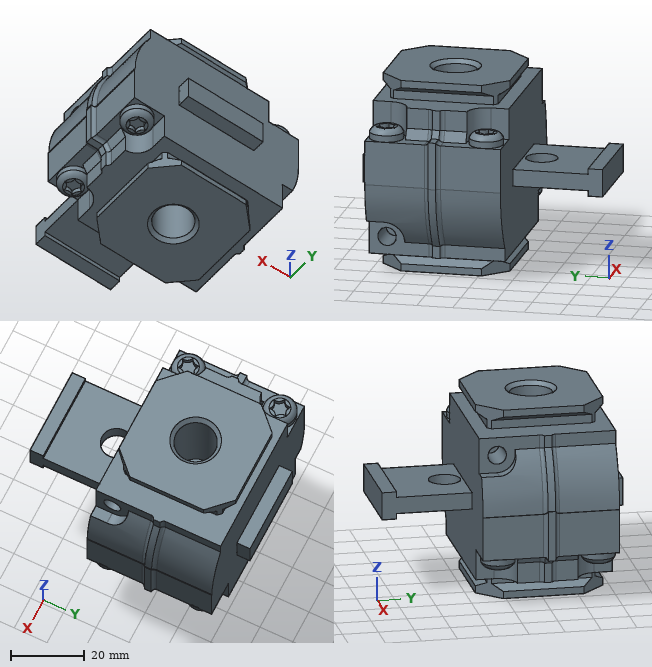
import cadquery as cq
import math

BODY_WIDTH_Y = 38.0
BODY_HEIGHT = 42.0
HALF_Y = BODY_WIDTH_Y / 2
HALF_Z = BODY_HEIGHT / 2

SIDE_X = 28.55
NECK_X = 23.4
SEAT_Z = 12.35
SLOPE_RISE = 2.9
SLOPE_RUN = 1.45
FOOT_X = 23.0
CURVE_END_Z = 17.3
LEFT_CURVE_X = SIDE_X
CURVE_STEP = 0.2
RIGHT_CURVE_X = SIDE_X - CURVE_STEP

RIB_HEIGHT = 0.9
RIB_TOP_WIDTH = 2.1
RIB_ROOT_RADIUS = 1.25
RIB_ROOT_DEPTH = 0.3
RIB_LEDGE_RUN = 2 * RIB_ROOT_DEPTH

FLANGE_WIDTH = 35.5
FLANGE_NECK_WIDTH = 30.1
FLANGE_CORNER_CUT = 6.5
FLANGE_RIM = 2.05
FLANGE_NECK_HEIGHT = 2.4
FLANGE_TAPER_HEIGHT = 1.6
FLANGE_HEIGHT = FLANGE_NECK_HEIGHT + FLANGE_TAPER_HEIGHT + FLANGE_RIM
PORT_DIAMETER = 11.8
PORT_MOUTH_DIAMETER = 14.1

SCREW_X = 23.7
SCREW_Y = 13.95
HEAD_DIAMETER = 9.4
HEAD_HEIGHT = 3.4
HEAD_RIM_HEIGHT = 1.8
HEAD_TOP_DIAMETER = 5.95
DOME_RADIUS = 2.6
STAR_POINT_RADIUS = 2.95
STAR_VALLEY_RADIUS = 1.95
STAR_POINTS = 6
STAR_DEPTH = 1.5
POCKET_RADIUS = 5.5

RELIEF_HOLE_Y = 14.0
RELIEF_HOLE_Z = 15.95
RELIEF_HOLE_DIAMETER = 5.1
RELIEF_HOLE_DEPTH = 10.0
RELIEF_RADIUS = 5.0

BAR_WIDTH = 26.0
BAR_THICKNESS = 4.7
BAR_HEAD_THICKNESS = 7.8
BAR_HEAD_LENGTH = 4.0
BAR_FRONT_Y = -44.0
BAR_BACK_Y = HALF_Y + BAR_HEAD_LENGTH
BAR_HOLE_Y = -24.1
BAR_HOLE_DIAMETER = 8.8


def half_turn(shape):
    """Copy turned half a turn about Y."""
    return shape.rotate((0, 0, 0), (0, 1, 0), 180)


def point_mirror(shape):
    """Copy mirrored through the origin."""
    return half_turn(shape).mirror("XZ")


def upper_left_side(pen):
    """Draw the left side of the profile, from the top corner down to the start of the curve."""
    return (
        pen.lineTo(-NECK_X, SEAT_Z + SLOPE_RISE)
        .lineTo(-NECK_X - SLOPE_RUN, SEAT_Z)
        .lineTo(-SIDE_X, SEAT_Z)
        .lineTo(-SIDE_X, 0)
    )


def lower_left_side(pen, curve_x):
    """Draw the left side of the profile, from the start of the curve to the bottom corner."""
    curve_run = curve_x - FOOT_X
    curve_radius = (curve_run ** 2 + CURVE_END_Z ** 2) / (2 * curve_run)
    mid_angle = math.asin(CURVE_END_Z / curve_radius) / 2
    curve_middle = (
        -curve_x + curve_radius * (1 - math.cos(mid_angle)),
        -curve_radius * math.sin(mid_angle),
    )
    curve = pen.threePointArc(curve_middle, (-FOOT_X, -CURVE_END_Z))
    return curve.lineTo(-FOOT_X, -HALF_Z)


def make_left_half(curve_x):
    outline = cq.Workplane("XZ").moveTo(0, HALF_Z).lineTo(-NECK_X, HALF_Z)
    outline = upper_left_side(outline)
    if curve_x < SIDE_X:
        outline = outline.lineTo(-curve_x, 0)
    outline = lower_left_side(outline, curve_x).lineTo(0, -HALF_Z).close()
    return outline.extrude(HALF_Y, both=True)


def make_rib_section(wall_x, start_z):
    """Rib cross section with hollow flanks, standing on a vertical wall on the left."""
    half_top = RIB_TOP_WIDTH / 2
    flank_angle = math.acos(1 - RIB_HEIGHT / RIB_ROOT_RADIUS)
    half_root = half_top + RIB_ROOT_RADIUS * math.sin(flank_angle)
    flank_y = half_root - RIB_ROOT_RADIUS * math.sin(flank_angle / 2)
    flank_x = -wall_x - RIB_ROOT_RADIUS * (1 - math.cos(flank_angle / 2))
    top_x = -wall_x - RIB_HEIGHT
    buried_x = -wall_x + RIB_ROOT_DEPTH
    return (
        cq.Workplane("XY", origin=(0, 0, start_z))
        .moveTo(buried_x, -half_root)
        .lineTo(-wall_x, -half_root)
        .threePointArc((flank_x, -flank_y), (top_x, -half_top))
        .lineTo(top_x, half_top)
        .threePointArc((flank_x, flank_y), (-wall_x, half_root))
        .lineTo(buried_x, half_root)
        .close()
    )


def make_left_rib(curve_x):
    """Rib down the left side: one run over the flats and any ledge, one down the curve."""
    upper_path = upper_left_side(cq.Workplane("XZ").moveTo(-NECK_X, HALF_Z))
    if curve_x < SIDE_X:
        upper_path = upper_path.lineTo(-SIDE_X + RIB_LEDGE_RUN, 0)
    lower_path = lower_left_side(cq.Workplane("XZ").moveTo(-curve_x, 0), curve_x)
    upper = make_rib_section(NECK_X, HALF_Z).sweep(upper_path, transition="right")
    lower = make_rib_section(curve_x, 0).sweep(lower_path, transition="right")
    return upper.union(lower)


def make_flange():
    """Top flange; its cut corners run straight down through rim, taper and neck."""
    taper_z = HALF_Z + FLANGE_NECK_HEIGHT
    rim_z = taper_z + FLANGE_TAPER_HEIGHT
    neck = (
        cq.Workplane("XY", origin=(0, 0, HALF_Z))
        .rect(FLANGE_NECK_WIDTH, FLANGE_NECK_WIDTH)
        .extrude(FLANGE_NECK_HEIGHT)
    )
    taper = (
        cq.Workplane("XY", origin=(0, 0, taper_z))
        .rect(FLANGE_NECK_WIDTH, FLANGE_NECK_WIDTH)
        .workplane(offset=FLANGE_TAPER_HEIGHT)
        .rect(FLANGE_WIDTH, FLANGE_WIDTH)
        .loft(ruled=True)
    )
    rim = (
        cq.Workplane("XY", origin=(0, 0, rim_z))
        .rect(FLANGE_WIDTH, FLANGE_WIDTH)
        .extrude(FLANGE_RIM)
    )
    corner_limit = (
        cq.Workplane("XY", origin=(0, 0, HALF_Z))
        .rect(FLANGE_WIDTH, FLANGE_WIDTH)
        .extrude(FLANGE_HEIGHT)
        .edges("|Z")
        .chamfer(FLANGE_CORNER_CUT)
    )
    return neck.union(taper).union(rim).intersect(corner_limit)


def make_port():
    """Bore from the flange face down to the bar slot, with a chamfered mouth."""
    face_z = HALF_Z + FLANGE_HEIGHT
    bore_radius = PORT_DIAMETER / 2
    mouth_radius = PORT_MOUTH_DIAMETER / 2
    mouth_depth = mouth_radius - bore_radius
    return (
        cq.Workplane("XZ")
        .lineTo(bore_radius, 0)
        .lineTo(bore_radius, face_z - mouth_depth)
        .lineTo(mouth_radius, face_z)
        .lineTo(0, face_z)
        .close()
        .revolve(360, (0, 0, 0), (0, 1, 0))
    )


def make_screw_pocket(side):
    """Clearance over one seat screw, open to the left and to the +Y or -Y side."""
    height = HALF_Z - SEAT_Z
    seat = cq.Workplane("XY", origin=(0, 0, SEAT_Z))
    screw_y = side * SCREW_Y
    outside_x = SIDE_X - SCREW_X
    outside_y = HALF_Y - SCREW_Y
    rounded = seat.center(-SCREW_X, screw_y).circle(POCKET_RADIUS).extrude(height)
    to_side = (
        seat.center(-SCREW_X, screw_y + side * outside_y / 2)
        .rect(2 * POCKET_RADIUS, outside_y)
        .extrude(height)
    )
    to_left = (
        seat.center(-SCREW_X - outside_x / 2, screw_y)
        .rect(outside_x, 2 * POCKET_RADIUS)
        .extrude(height)
    )
    return rounded.union(to_side).union(to_left)


def make_corner_relief():
    """Rounded relief flush with the foot wall at the lower left +Y corner, with its hole."""
    depth = SIDE_X - FOOT_X
    inner_y = RELIEF_HOLE_Y - RELIEF_RADIUS
    upper_z = -RELIEF_HOLE_Z + RELIEF_RADIUS
    relief = (
        cq.Workplane("YZ", origin=(-SIDE_X, 0, 0))
        .moveTo(HALF_Y, -HALF_Z)
        .lineTo(HALF_Y, upper_z)
        .lineTo(RELIEF_HOLE_Y, upper_z)
        .radiusArc((inner_y, -RELIEF_HOLE_Z), -RELIEF_RADIUS)
        .lineTo(inner_y, -HALF_Z)
        .close()
        .extrude(depth)
    )
    hole = (
        cq.Workplane("YZ", origin=(-FOOT_X, RELIEF_HOLE_Y, -RELIEF_HOLE_Z))
        .circle(RELIEF_HOLE_DIAMETER / 2)
        .extrude(RELIEF_HOLE_DEPTH)
    )
    return relief.union(hole)


def make_housing():
    left_half = make_left_half(LEFT_CURVE_X)
    right_half = half_turn(make_left_half(RIGHT_CURVE_X))
    left_rib = make_left_rib(LEFT_CURVE_X)
    right_rib = half_turn(make_left_rib(RIGHT_CURVE_X))
    flange = make_flange()
    port = make_port()
    relief = make_corner_relief()
    slot = cq.Workplane("XY").box(BAR_WIDTH, BODY_WIDTH_Y, BAR_THICKNESS)
    housing = left_half.union(right_half).union(left_rib).union(right_rib)
    housing = housing.union(flange).union(half_turn(flange))
    housing = housing.cut(port).cut(half_turn(port))
    for side in (-1, 1):
        pocket = make_screw_pocket(side)
        housing = housing.cut(pocket).cut(half_turn(pocket))
    housing = housing.cut(relief).cut(point_mirror(relief))
    return housing.cut(slot)


def polar_point(radius, angle):
    return (radius * math.cos(angle), radius * math.sin(angle))


def make_screw(side):
    """Screw head on the upper seat, domed, with a six-point star recess."""
    rim_radius = HEAD_DIAMETER / 2
    top_radius = HEAD_TOP_DIAMETER / 2
    head = (
        cq.Workplane("XZ")
        .lineTo(rim_radius, 0)
        .lineTo(rim_radius, HEAD_RIM_HEIGHT)
        .radiusArc((top_radius, HEAD_HEIGHT), -DOME_RADIUS)
        .lineTo(0, HEAD_HEIGHT)
        .close()
        .revolve(360, (0, 0, 0), (0, 1, 0))
    )
    step = 2 * math.pi / STAR_POINTS
    star = cq.Workplane("XY", origin=(0, 0, HEAD_HEIGHT)).moveTo(STAR_POINT_RADIUS, 0)
    for i in range(STAR_POINTS):
        valley = polar_point(STAR_VALLEY_RADIUS, (i + 0.5) * step)
        star_point = polar_point(STAR_POINT_RADIUS, (i + 1) * step)
        star = star.threePointArc(valley, star_point)
    recess = star.close().extrude(-STAR_DEPTH)
    return head.cut(recess).translate((-SCREW_X, side * SCREW_Y, SEAT_Z))


def make_bar():
    """Flat slide bar with a thicker head at each end and a cross hole."""
    length = BAR_BACK_Y - BAR_FRONT_Y
    bar = cq.Workplane("XY").box(BAR_WIDTH, length, BAR_THICKNESS)
    bar = bar.translate((0, (BAR_FRONT_Y + BAR_BACK_Y) / 2, 0))
    for head_y in (BAR_FRONT_Y + BAR_HEAD_LENGTH / 2, BAR_BACK_Y - BAR_HEAD_LENGTH / 2):
        head = cq.Workplane("XY").box(BAR_WIDTH, BAR_HEAD_LENGTH, BAR_HEAD_THICKNESS)
        bar = bar.union(head.translate((0, head_y, 0)))
    hole = (
        cq.Workplane("XY", origin=(0, BAR_HOLE_Y, 0))
        .circle(BAR_HOLE_DIAMETER / 2)
        .extrude(BAR_THICKNESS, both=True)
    )
    return bar.cut(hole)


housing = make_housing()
bar = make_bar()
screws = []
for side in (-1, 1):
    top_screw = make_screw(side)
    screws += [top_screw.val(), half_turn(top_screw).val()]

result = cq.Compound.makeCompound([housing.val(), bar.val(), *screws])